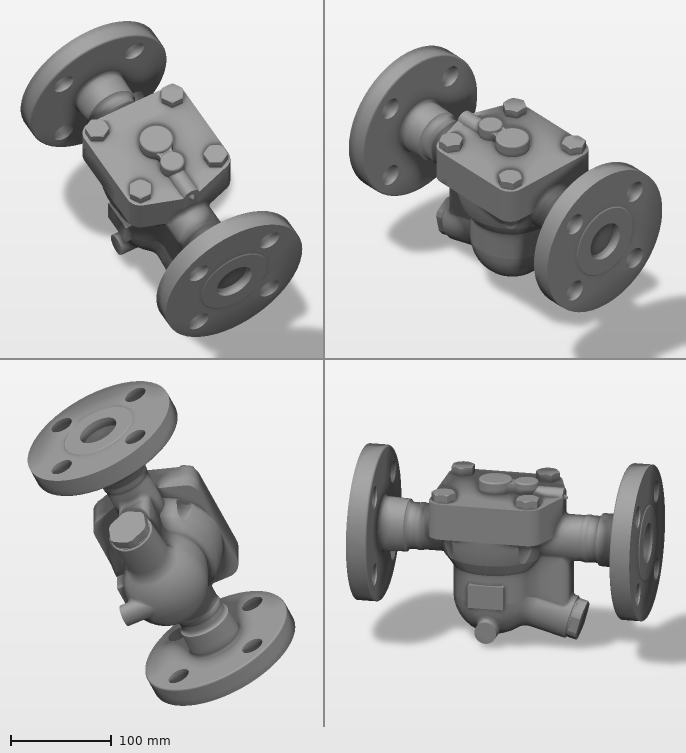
import cadquery as cq
import math

face_to_face = 290.0

edge_margin = 1.0

flange_diameter = 156.0
flange_back_x = 123.7
flange_edge_fillet = 2.0
raised_face_height = 0.8
raised_face_diameter = 74.0
raised_face_base_diameter = 76.4
bolt_hole_diameter = 22.2
bolt_circle_diameter = 114.3
bolt_hole_count = 4
bore_diameter = 40.0
bore_depth = 10.0

neck_root_radius = 29.2
neck_large_radius = 27.1
neck_small_radius = 26.3
neck_end_radius = 23.3
neck_root_x = 120.2
neck_taper_end_x = 98.2
neck_arc_sag = 0.8
neck_shoulder_x = 93.7
weld_outer_x = 88.0
weld_inner_x = 80.5
weld_radius = 24.0

pipe_radius = 23.0
pipe_blend_radius = 3.8

body_x = -10.0
body_radius = 42.0
dome_center_z = -62.4
cylinder_top_z = -32.3
shoulder_z = -19.2
shoulder_radius = 51.3
throat_radius = 57.4
throat_mid_radius = 55.2
throat_mid_z = -6.0

plate_bottom_z = 7.1
cover_split_z = 26.9
cover_top_z = 43.8
plate_corner_radius = 14.5
bolt_offset = 43.0
plate_end_x = 60.0
plate_end_half_width = 8.8
joint_bolt_across_flats = 21.2
joint_bolt_head_height = 8.6
joint_bolt_chamfer_height = 0.8

pocket_radius = 9.6
pocket_fillet = 3.0

boss_top_z = 56.2
boss_edge_fillet = 1.8
large_boss_radius = 16.7
small_boss_radius = 12.0
small_boss_x = 21.5
link_waist_radius = 7.0
link_top_z = 53.4
ridge_radius = 9.4
ridge_axis_z = 41.3
tip_base_radius = 3.4
tip_end_radius = 1.0
tip_length = 3.6

rib_bottom_z = -80.0
rib_half_width = 17.0
rib_end_x = 67.3
rib_corner_radius = 6.8
rib_body_blend_radius = 15.0
rib_pipe_blend_radius = 5.0
rib_port_blend_radius = 3.0
rib_port_blend_start = 38.0

port_tilt = 15.0
port_radius = 22.0
port_length = 81.0
port_blend_radius = 17.0
port_edge_chamfer = 0.8
plug_neck_radius = 20.0
plug_hex_start = 82.3
plug_hex_end = 91.5
plug_across_flats = 38.4
plug_corner_diameter = 41.4

stub_diameter = 22.0
stub_z = -91.4
stub_end_y = -45.8
stub_blend_radius = 4.0
pad_width = 36.0
pad_top_z = -42.6
pad_bottom_z = -66.3
pad_face_y = -45.0
pad_corner_radius = 1.0


def concave_arc(circle_radius, arc_radius, line_height):
    """Concave arc tangent to a circle about the origin and to a horizontal line.

    Returns its start on the circle, a middle point and its end on the line.
    """
    center_y = line_height + arc_radius
    center_x = math.sqrt((circle_radius + arc_radius) ** 2 - center_y**2)
    touch = circle_radius / (circle_radius + arc_radius)
    start = (center_x * touch, center_y * touch)
    mid_angle = (math.atan2(-center_y, -center_x) - math.pi / 2) / 2
    mid = (center_x + arc_radius * math.cos(mid_angle), center_y + arc_radius * math.sin(mid_angle))
    return start, mid, (center_x, line_height)


def sagged_middle(start, end, sag):
    """Middle point of an arc that bulges by sag to the right of the line from start to end."""
    dx = end[0] - start[0]
    dy = end[1] - start[1]
    length = math.hypot(dx, dy)
    return (start[0] + end[0]) / 2 + sag * dy / length, (start[1] + end[1]) / 2 - sag * dx / length


def x_cylinder(radius, x_start, x_end, z=0.0):
    return cq.Workplane("YZ", origin=(x_start, 0, z)).circle(radius).extrude(x_end - x_start)


def z_cylinder(radius, x, y, z_bottom, z_top):
    return cq.Workplane("XY", origin=(x, y, z_bottom)).circle(radius).extrude(z_top - z_bottom)


def blend(shape, center, size, radius):
    """Fillet the edges whose centres lie inside the box of the given centre and size."""
    low = tuple(c - s / 2 for c, s in zip(center, size))
    high = tuple(c + s / 2 for c, s in zip(center, size))
    return shape.edges(cq.selectors.BoxSelector(low, high)).fillet(radius)


def make_pipe():
    return x_cylinder(pipe_radius, -neck_shoulder_x, neck_shoulder_x)


def make_end_flange():
    """Welding-neck flange at the +X end."""
    face_x = face_to_face / 2
    seat_x = face_x - raised_face_height
    outer_radius = flange_diameter / 2
    fillet_mid = flange_edge_fillet * (1 - math.sqrt(0.5))
    weld_mid = ((weld_inner_x + weld_outer_x) / 2, weld_radius)
    shoulder = (neck_shoulder_x, neck_end_radius)
    taper_end = (neck_taper_end_x, neck_small_radius)
    root_start = (neck_root_x, neck_large_radius)
    root_end = (flange_back_x, neck_root_radius)
    profile = (
        cq.Workplane("XY")
        .moveTo(weld_inner_x, 0)
        .lineTo(weld_inner_x, pipe_radius)
        .threePointArc(weld_mid, (weld_outer_x, neck_end_radius))
        .lineTo(*shoulder)
        .threePointArc(sagged_middle(shoulder, taper_end, neck_arc_sag), taper_end)
        .lineTo(*root_start)
        .threePointArc(sagged_middle(root_start, root_end, neck_arc_sag), root_end)
        .lineTo(flange_back_x, outer_radius - flange_edge_fillet)
        .threePointArc(
            (flange_back_x + fillet_mid, outer_radius - fillet_mid),
            (flange_back_x + flange_edge_fillet, outer_radius),
        )
        .lineTo(seat_x, outer_radius)
        .lineTo(seat_x, raised_face_base_diameter / 2)
        .lineTo(face_x, raised_face_diameter / 2)
        .lineTo(face_x, 0)
        .close()
    )
    flange = profile.revolve(360, (0, 0, 0), (1, 0, 0))
    holes = (
        cq.Workplane("YZ", origin=(flange_back_x, 0, 0))
        .polarArray(bolt_circle_diameter / 2, 180 / bolt_hole_count, 360, bolt_hole_count)
        .circle(bolt_hole_diameter / 2)
        .extrude(face_x - flange_back_x)
    )
    return flange.cut(holes)


def make_bore():
    """Blind bore at the +X end."""
    return x_cylinder(bore_diameter / 2, face_to_face / 2 - bore_depth, face_to_face / 2)


def make_body():
    profile = (
        cq.Workplane("XZ", origin=(body_x, 0, 0))
        .moveTo(0, dome_center_z - body_radius)
        .threePointArc(
            (body_radius * math.sqrt(0.5), dome_center_z - body_radius * math.sqrt(0.5)),
            (body_radius, dome_center_z),
        )
        .lineTo(body_radius, cylinder_top_z)
        .lineTo(shoulder_radius, shoulder_z)
        .threePointArc((throat_mid_radius, throat_mid_z), (throat_radius, plate_bottom_z))
        .lineTo(0, plate_bottom_z)
        .close()
    )
    return profile.revolve(360, (0, 0, 0), (0, 1, 0))


def cut_pockets(body):
    for x_side in (-1, 1):
        for y_side in (-1, 1):
            pocket = z_cylinder(
                pocket_radius,
                body_x + x_side * bolt_offset,
                y_side * bolt_offset,
                shoulder_z,
                plate_bottom_z,
            )
            body = body.cut(pocket.faces(">Z").edges().fillet(pocket_fillet))
    return body


def make_plate():
    """Body flange with cover: square with round corners, tapering to a nose on the +X side."""
    half = bolt_offset + plate_corner_radius
    left = body_x - half
    corner_x = body_x + bolt_offset
    dx = plate_end_x - corner_x
    dy = plate_end_half_width - bolt_offset
    tangent_angle = math.atan2(dy, dx) + math.acos(plate_corner_radius / math.hypot(dx, dy))

    def corner_point(center_x, y_side, angle):
        return (
            center_x + plate_corner_radius * math.cos(angle),
            y_side * (bolt_offset + plate_corner_radius * math.sin(angle)),
        )

    left_x = body_x - bolt_offset
    nose_mid_angle = (tangent_angle + math.pi / 2) / 2
    outline = (
        cq.Workplane("XY", origin=(0, 0, plate_bottom_z))
        .moveTo(left, -bolt_offset)
        .threePointArc(corner_point(left_x, -1, 0.75 * math.pi), (left_x, -half))
        .lineTo(corner_x, -half)
        .threePointArc(corner_point(corner_x, -1, nose_mid_angle), corner_point(corner_x, -1, tangent_angle))
        .lineTo(plate_end_x, -plate_end_half_width)
        .lineTo(plate_end_x, plate_end_half_width)
        .lineTo(*corner_point(corner_x, 1, tangent_angle))
        .threePointArc(corner_point(corner_x, 1, nose_mid_angle), (corner_x, half))
        .lineTo(left_x, half)
        .threePointArc(corner_point(left_x, 1, 0.75 * math.pi), (left, bolt_offset))
        .close()
    )
    lower = outline.extrude(cover_split_z - plate_bottom_z)
    upper = lower.faces(">Z").wires().toPending().workplane().extrude(cover_top_z - cover_split_z, combine=False)
    return lower, upper


def make_bolt_heads():
    heads = []
    corner_diameter = joint_bolt_across_flats / math.cos(math.pi / 6)
    for x_side, y_side, turn in ((-1, -1, 0), (1, -1, 30), (1, 1, 0), (-1, 1, 30)):
        head = (
            cq.Workplane("XY")
            .polygon(6, corner_diameter)
            .extrude(joint_bolt_head_height)
        )
        trim = (
            cq.Workplane("XY")
            .circle(corner_diameter / 2)
            .extrude(joint_bolt_head_height)
            .faces(">Z").edges()
            .chamfer(joint_bolt_chamfer_height, (corner_diameter - joint_bolt_across_flats) / 2)
        )
        head = head.intersect(trim).rotate((0, 0, 0), (0, 0, 1), turn)
        heads.append(head.translate((body_x + x_side * bolt_offset, y_side * bolt_offset, cover_top_z)))
    return heads


def make_boss_link():
    """Waisted link between the two bosses; each side is one concave arc tangent to both bosses."""
    spacing = small_boss_x - body_x
    large_reach = large_boss_radius + link_waist_radius
    small_reach = small_boss_radius + link_waist_radius
    arc_x = (spacing**2 + large_reach**2 - small_reach**2) / (2 * spacing)
    arc_y = math.sqrt(large_reach**2 - arc_x**2)
    large_share = large_boss_radius / large_reach
    small_share = small_boss_radius / small_reach
    large_touch = (arc_x * large_share, arc_y * large_share)
    small_touch = (spacing + (arc_x - spacing) * small_share, arc_y * small_share)
    waist = (arc_x, arc_y - link_waist_radius)
    return (
        cq.Workplane("XY", origin=(body_x, 0, cover_split_z))
        .moveTo(large_touch[0], -large_touch[1])
        .threePointArc((waist[0], -waist[1]), (small_touch[0], -small_touch[1]))
        .lineTo(*small_touch)
        .threePointArc(waist, large_touch)
        .close()
        .extrude(link_top_z - cover_split_z)
    )


def make_cover_bosses():
    large = z_cylinder(large_boss_radius, body_x, 0, cover_split_z, boss_top_z)
    small = z_cylinder(small_boss_radius, small_boss_x, 0, cover_split_z, boss_top_z)
    large = large.faces(">Z").edges().fillet(boss_edge_fillet)
    small = small.faces(">Z").edges().fillet(boss_edge_fillet)
    link = make_boss_link()
    ridge = x_cylinder(ridge_radius, small_boss_x, plate_end_x, ridge_axis_z)
    tip_start = cq.Vector(plate_end_x, 0, ridge_axis_z)
    tip = cq.Workplane("XY").add(
        cq.Solid.makeCone(tip_base_radius, tip_end_radius, tip_length, tip_start, cq.Vector(1, 0, 0))
    )
    return large.union(small).union(link).union(ridge).union(tip)


def make_rib():
    """Upright rib joining the body to the outlet pipe."""
    rib_length = rib_end_x - body_x
    rib = cq.Workplane("XY", origin=(body_x, 0, rib_bottom_z)).box(
        rib_length, 2 * rib_half_width, -rib_bottom_z, centered=(False, True, False)
    )
    return rib.edges("|Z and >X").fillet(rib_corner_radius)


def make_rib_webs():
    """Concave fillets between the rib sides and the body cylinder."""
    start, mid, end = concave_arc(body_radius, rib_body_blend_radius, rib_half_width)
    web = (
        cq.Workplane("XY", origin=(body_x, 0, dome_center_z))
        .lineTo(*start)
        .threePointArc(mid, end)
        .lineTo(end[0], 0)
        .close()
        .extrude(shoulder_z - dome_center_z)
    )
    return web.union(web.mirror("XZ"))


def make_port():
    """Port, sphere blend and hexagon plug, made along +X from the dome centre and then tilted."""
    start, mid, end = concave_arc(body_radius, port_blend_radius, port_radius)
    port = (
        cq.Workplane("XY")
        .moveTo(start[0], 0)
        .lineTo(*start)
        .threePointArc(mid, end)
        .lineTo(port_length - port_edge_chamfer, port_radius)
        .lineTo(port_length, port_radius - port_edge_chamfer)
        .lineTo(port_length, plug_neck_radius)
        .lineTo(plug_hex_start, plug_neck_radius)
        .lineTo(plug_hex_start, 0)
        .close()
        .revolve(360, (0, 0, 0), (1, 0, 0))
    )
    hexagon = (
        cq.Workplane("YZ", origin=(plug_hex_start, 0, 0))
        .transformed(rotate=(0, 0, 90))
        .polygon(6, plug_across_flats / math.cos(math.pi / 6))
        .extrude(plug_hex_end - plug_hex_start)
    )
    hexagon = hexagon.intersect(x_cylinder(plug_corner_diameter / 2, plug_hex_start, plug_hex_end))
    return [
        piece.rotate((0, 0, 0), (0, 1, 0), port_tilt).translate((body_x, 0, dome_center_z))
        for piece in (port, hexagon)
    ]


def make_name_pad():
    pad_height = pad_top_z - pad_bottom_z
    return (
        cq.Workplane("XZ", origin=(body_x, 0, (pad_top_z + pad_bottom_z) / 2))
        .rect(pad_width, pad_height)
        .extrude(-pad_face_y)
        .edges("|Y").fillet(pad_corner_radius)
    )


def make_stub():
    return (
        cq.Workplane("XZ", origin=(body_x, 0, stub_z))
        .circle(stub_diameter / 2)
        .extrude(-stub_end_y)
    )


def join_plate_and_pipe(plate):
    rim_height = pipe_radius - plate_bottom_z
    return blend(
        make_pipe().union(plate),
        (0, 0, plate_bottom_z + rim_height / 2 + edge_margin),
        (2 * weld_inner_x, 2 * pipe_radius, rim_height),
        pipe_blend_radius,
    )


def join_rib_and_pipe():
    outer_half = rib_end_x - body_x
    return blend(
        make_pipe().union(make_rib()),
        (rib_end_x, 0, -3 * pipe_radius / 4),
        (2 * outer_half - edge_margin, 3 * rib_half_width, 3 * pipe_radius / 4),
        rib_pipe_blend_radius,
    )


def join_rib_and_port(port):
    """Part of the rib and port beyond the body, with the edge between them filleted."""
    start_x = body_x + rib_port_blend_start
    span = port_length
    beyond_body = cq.Workplane("XY", origin=(start_x, 0, dome_center_z)).box(
        span, 2 * span, 2 * span, centered=(False, True, True)
    )
    blend_length = rib_end_x - start_x
    return blend(
        make_rib().union(port).intersect(beyond_body),
        (start_x + blend_length / 2 + edge_margin, 0, dome_center_z),
        (blend_length, 2 * rib_half_width + edge_margin, port_radius / 2 - edge_margin),
        rib_port_blend_radius,
    )


def join_body_and_stub():
    return blend(
        make_body().union(make_stub()),
        (body_x, stub_end_y + body_radius / 2, stub_z),
        (2 * stub_diameter, body_radius - edge_margin, 2 * stub_diameter),
        stub_blend_radius,
    )


lower_plate, upper_plate = make_plate()
port, plug_hexagon = make_port()

result = cut_pockets(join_body_and_stub())
result = result.union(make_rib_webs()).union(join_rib_and_pipe())
result = result.union(port).union(join_rib_and_port(port))
result = result.union(make_name_pad()).union(plug_hexagon).union(join_plate_and_pipe(lower_plate))

cover = upper_plate.union(make_cover_bosses())
for head in make_bolt_heads():
    cover = cover.union(head)

result = result.union(cover, clean=False)
end_flange = make_end_flange()
bore = make_bore()
for flange in (end_flange, end_flange.mirror("YZ")):
    result = result.union(flange, clean=False)
for end_bore in (bore, bore.mirror("YZ")):
    result = result.cut(end_bore, clean=False)